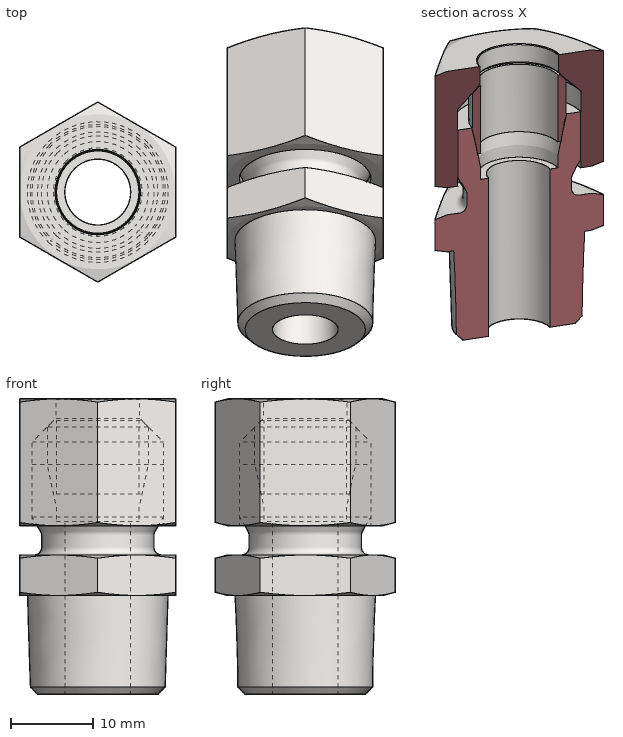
import cadquery as cq
import math


TOTAL_HEIGHT = 36.0
HEX_FLATS = 19.0
HEX_CORNERS = HEX_FLATS / math.cos(math.radians(30))
HEX_FACE_DIA = 18.85
HEX_CHAMFER_ANGLE = 15.0

STUD_END_DIA = 16.45
STUD_CHAMFER = 0.9
STUD_TAPER = 1 / 16
FLANGE_BOTTOM = 12.02
FLANGE_TOP = 17.0

NECK_DIA = 13.7
NECK_FILLET = 0.9
NECK_TOP = 19.35
RELIEF_ANGLE = 30.0
THREAD_DIA = 16.0
BODY_TOP = 28.0

THROUGH_DIA = 8.0
TUBE_DIA = 10.0
SEAT_MOUTH_DIA = 12.3
SEAT_ANGLE = 12.0
TUBE_STOP_DEPTH = 7.0

NUT_HEIGHT = 15.48
NUT_BOTTOM = TOTAL_HEIGHT - NUT_HEIGHT
NUT_BORE_DIA = 10.2
NUT_BORE_DEPTH = 2.38
NUT_BORE_CHAMFER = 0.1
NUT_BORE_BOTTOM = TOTAL_HEIGHT - NUT_BORE_DEPTH

RING_TOP_GAP = 0.3
RING_SEAT_LENGTH = 3.6


def revolve_profile(outline):
    """Revolve a closed outline of radius and height about the Z axis."""
    return outline.close().revolve(360, (0, 0, 0), (0, 1, 0))


def start_profile(radius, height):
    return cq.Workplane("XZ").moveTo(radius, height)


def make_hexagon(bottom, top):
    """Hexagon with corners on the Y axis and chamfered corners at both ends."""
    prism = (
        cq.Workplane("XY", origin=(0, 0, bottom))
        .polygon(6, HEX_CORNERS)
        .extrude(top - bottom)
        .rotate((0, 0, 0), (0, 0, 1), 30)
    )
    face_radius = HEX_FACE_DIA / 2
    corner_radius = HEX_CORNERS / 2
    drop = (corner_radius - face_radius) * math.tan(math.radians(HEX_CHAMFER_ANGLE))
    envelope = revolve_profile(
        start_profile(0, bottom)
        .lineTo(face_radius, bottom)
        .lineTo(corner_radius, bottom + drop)
        .lineTo(corner_radius, top - drop)
        .lineTo(face_radius, top)
        .lineTo(0, top)
    )
    return prism.intersect(envelope)


def make_stud():
    """Tapered stud below the flange, chamfered at its free end."""
    end_radius = STUD_END_DIA / 2
    root_radius = end_radius + (FLANGE_BOTTOM - STUD_CHAMFER) * STUD_TAPER / 2
    return revolve_profile(
        start_profile(0, 0)
        .lineTo(end_radius - STUD_CHAMFER, 0)
        .lineTo(end_radius, STUD_CHAMFER)
        .lineTo(root_radius, FLANGE_BOTTOM)
        .lineTo(0, FLANGE_BOTTOM)
    )


def make_neck():
    """Relief neck above the flange, widening to the cylinder that carries the nut."""
    neck_radius = NECK_DIA / 2
    thread_radius = THREAD_DIA / 2
    arc_x = neck_radius + NECK_FILLET

    def fillet_point(angle, center_z):
        turn = math.radians(angle)
        return arc_x - NECK_FILLET * math.cos(turn), center_z + NECK_FILLET * math.sin(turn)

    lower_center = FLANGE_TOP + NECK_FILLET
    flank_start = fillet_point(RELIEF_ANGLE, NECK_TOP)
    flank_height = (thread_radius - flank_start[0]) / math.tan(math.radians(RELIEF_ANGLE))
    return revolve_profile(
        start_profile(0, FLANGE_TOP)
        .lineTo(arc_x, FLANGE_TOP)
        .threePointArc(fillet_point(-45, lower_center), (neck_radius, lower_center))
        .lineTo(neck_radius, NECK_TOP)
        .threePointArc(fillet_point(RELIEF_ANGLE / 2, NECK_TOP), flank_start)
        .lineTo(thread_radius, flank_start[1] + flank_height)
        .lineTo(thread_radius, BODY_TOP)
        .lineTo(0, BODY_TOP)
    )


def make_body_bore():
    """Through hole, tube socket and conical seat, as one cutting shape."""
    tube_radius = TUBE_DIA / 2
    mouth_radius = SEAT_MOUTH_DIA / 2
    seat_depth = (mouth_radius - tube_radius) / math.tan(math.radians(SEAT_ANGLE))
    tube_stop = BODY_TOP - TUBE_STOP_DEPTH
    return revolve_profile(
        start_profile(0, 0)
        .lineTo(THROUGH_DIA / 2, 0)
        .lineTo(THROUGH_DIA / 2, tube_stop)
        .lineTo(tube_radius, tube_stop)
        .lineTo(tube_radius, BODY_TOP - seat_depth)
        .lineTo(mouth_radius, BODY_TOP)
        .lineTo(0, BODY_TOP)
    )


def make_body():
    flange = make_hexagon(FLANGE_BOTTOM, FLANGE_TOP)
    return make_stud().union(flange).union(make_neck()).cut(make_body_bore())


def make_nut():
    """Hexagon nut: thread cavity, 45 degree shoulder and chamfered tube bore."""
    bore_radius = NUT_BORE_DIA / 2
    cavity_radius = THREAD_DIA / 2
    shoulder_height = cavity_radius - bore_radius
    cavity = revolve_profile(
        start_profile(0, NUT_BOTTOM)
        .lineTo(cavity_radius, NUT_BOTTOM)
        .lineTo(cavity_radius, NUT_BORE_BOTTOM - shoulder_height)
        .lineTo(bore_radius, NUT_BORE_BOTTOM)
        .lineTo(bore_radius, TOTAL_HEIGHT - NUT_BORE_CHAMFER)
        .lineTo(bore_radius + NUT_BORE_CHAMFER, TOTAL_HEIGHT)
        .lineTo(0, TOTAL_HEIGHT)
    )
    return make_hexagon(NUT_BOTTOM, TOTAL_HEIGHT).cut(cavity)


def make_cutting_ring():
    """Ring held between the 45 degree shoulder of the nut and the seat of the body."""
    inner_radius = TUBE_DIA / 2
    outer_radius = SEAT_MOUTH_DIA / 2
    top_radius = NUT_BORE_DIA / 2 + RING_TOP_GAP
    ring_top = NUT_BORE_BOTTOM - RING_TOP_GAP
    tip_radius = outer_radius - RING_SEAT_LENGTH * math.tan(math.radians(SEAT_ANGLE))
    ring_bottom = BODY_TOP - RING_SEAT_LENGTH
    return revolve_profile(
        start_profile(inner_radius, ring_bottom)
        .lineTo(tip_radius, ring_bottom)
        .lineTo(outer_radius, BODY_TOP)
        .lineTo(outer_radius, ring_top - (outer_radius - top_radius))
        .lineTo(top_radius, ring_top)
        .lineTo(inner_radius, ring_top)
    )


body = make_body()
cutting_ring = make_cutting_ring()
nut = make_nut()

result = cq.Compound.makeCompound([body.val(), cutting_ring.val(), nut.val()])